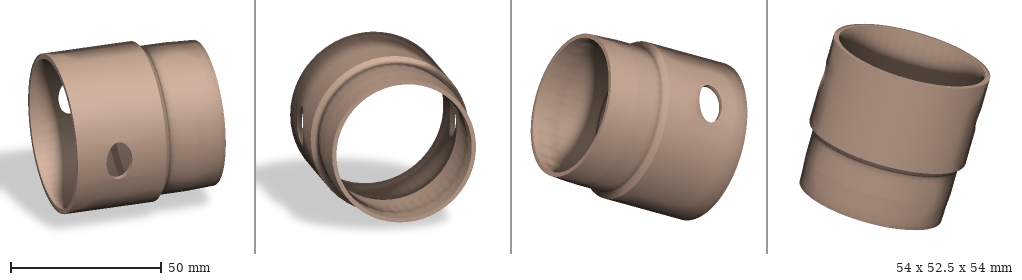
import cadquery as cq

total_length = 52.5
body_length = 31.0
shoulder_length = 2.0
taper_length = 10.0
neck_start = body_length + shoulder_length
taper_start = total_length - taper_length

body_diameter = 54.0
neck_diameter = 50.0
tip_diameter = 49.05

body_bore = 50.5
neck_bore = 47.0
tip_bore = 46.15
bore_step_length = (body_bore - neck_bore) / 2
bore_step_start = 26.0
bore_step_end = bore_step_start + bore_step_length

hole_length = 8.95
hole_height = 13.5
hole_position = 14.5


def make_sleeve():
    """Revolve the wall section, drawn as radius against Y, about the Y axis."""
    section = [
        (body_bore / 2, 0),
        (body_diameter / 2, 0),
        (body_diameter / 2, body_length),
        (neck_diameter / 2, neck_start),
        (neck_diameter / 2, taper_start),
        (tip_diameter / 2, total_length),
        (tip_bore / 2, total_length),
        (neck_bore / 2, taper_start),
        (neck_bore / 2, bore_step_end),
        (body_bore / 2, bore_step_start),
    ]
    return cq.Workplane("XY").polyline(section).close().revolve(360, (0, 0), (0, 1))


def make_cross_holes():
    """Elliptical cutter running along X through both walls."""
    return (
        cq.Workplane("YZ")
        .center(hole_position, 0)
        .ellipse(hole_length / 2, hole_height / 2)
        .extrude(body_diameter, both=True)
    )


result = make_sleeve().cut(make_cross_holes())